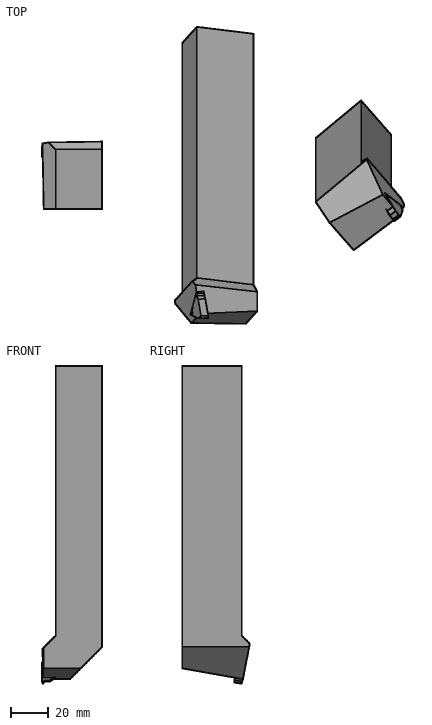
import cadquery as cq
import math

shank_width = 25.0
shank_height = 32.0
tool_length = 170.34
slope_start = 25.8
corner_cut_start = 19.8

tip_x = -6.67
tip_y = 31.91
rake_angle = 10.0
helix_angle = 1.0
side_relief = 0.30
end_relief = 2.6

inscribed_radius = 9.525 / 2
insert_thickness = 4.2
tooth_height = 1.16
tooth_half_angle = 30.0
tip_to_center = 7.1
corner_count = 3
full_turn = 360.0

reach = 2 * tool_length


def seat_plane():
    """Rake plane at the tooth tip: x along the end, y up the rake, z into the holder."""
    rake = math.radians(rake_angle)
    helix = math.radians(helix_angle)
    end_direction = (math.cos(helix), math.sin(helix), 0)
    inward = (
        math.sin(helix) * math.cos(rake),
        -math.cos(helix) * math.cos(rake),
        math.sin(rake),
    )
    return cq.Plane(origin=(tip_x, tip_y, 0), xDir=end_direction, normal=inward)


tooth_half_width = tooth_height * math.tan(math.radians(tooth_half_angle))
apex_half_angle = math.radians(90 - full_turn / corner_count / 2)
apex_x = -tooth_half_width
apex_y = tip_to_center - inscribed_radius / math.tan(apex_half_angle)
center_x = apex_x + inscribed_radius


def around_center(points):
    """Repeat one corner's points at every corner of the triangle."""
    outline = []
    for index in range(corner_count):
        turn = math.radians(index * full_turn / corner_count)
        for x, y in points:
            dx = x - center_x
            dy = y - tip_to_center
            outline.append((
                center_x + dx * math.cos(turn) - dy * math.sin(turn),
                tip_to_center + dx * math.sin(turn) + dy * math.cos(turn),
            ))
    return outline


def extrude_from_rake(outline, depth):
    """Extrude a closed outline on the rake plane into the holder."""
    return cq.Workplane(seat_plane()).polyline(outline).close().extrude(depth)


def make_insert():
    """Triangle with one V tooth and a set-back crest at each corner."""
    crest_end_x = apex_x + (tooth_height - apex_y) * math.tan(2 * apex_half_angle)
    corner = [
        (-tooth_half_width, tooth_height),
        (0, 0),
        (tooth_half_width, tooth_height),
        (crest_end_x, tooth_height),
    ]
    return extrude_from_rake(around_center(corner), insert_thickness)


def make_pocket():
    """Plain triangle around the insert, leaving room in front of its teeth and crests."""
    return extrude_from_rake(around_center([(apex_x, apex_y)]), insert_thickness)


def make_holder():
    """Shank and head: two straight outlines crossed, then trimmed by the head's tilted faces."""
    front_outline = [
        (0, tool_length),
        (shank_width, tool_length),
        (shank_width, corner_cut_start),
        (shank_width - corner_cut_start, 0),
        (-slope_start, 0),
        (0, slope_start),
    ]
    side_outline = [
        (0, tool_length),
        (shank_height, tool_length),
        (shank_height, slope_start),
        (shank_height + slope_start, 0),
        (0, 0),
    ]
    front = cq.Workplane("XZ").polyline(front_outline).close().extrude(-reach)
    side = cq.Workplane("YZ").polyline(side_outline).close().extrude(reach, both=True)
    head_faces_outline = [
        (-side_relief, end_relief),
        (reach, end_relief),
        (reach, reach),
        (-side_relief, reach),
    ]
    head_faces = extrude_from_rake(head_faces_outline, reach)
    return front.intersect(side).intersect(head_faces).cut(make_pocket())


insert = make_insert()
holder = make_holder()

result = cq.Compound.makeCompound([holder.val(), insert.val()])